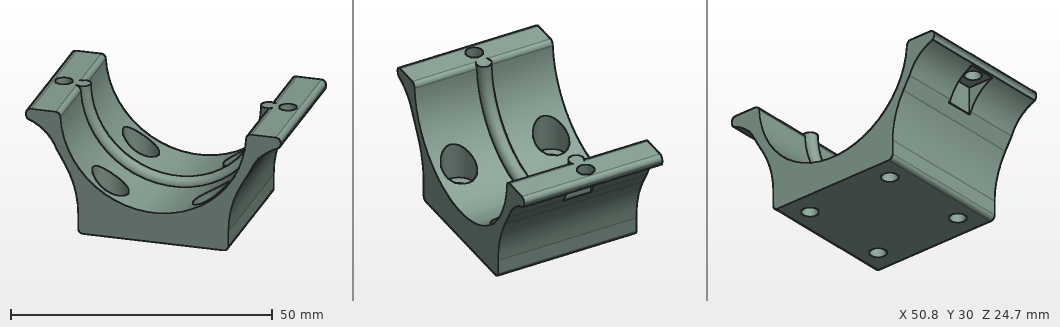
import cadquery as cq
import math

length = 30.0
half_width = 25.4
height = 24.65
edge_round = 1.0

bore_radius = 18.55
rib_radius = 1.5

foot_half_width = 15.0
foot_arc_radius = 20.0
foot_arc_start_z = -20.5
flank_angle = math.radians(30)
flat_top_z = -7.75
flange_arc_middle = (21.75, -4.1)
flange_arc_end = (25.05, -2.15)
lip_side_end_z = -1.3
lip_middle = (25.3, -1.75)

hole_diameter = 3.4
base_hole_offset = 10.0
counterbore_diameter = 7.0
counterbore_floor_z = -20.6
flange_hole_x = 22.35

pocket_width = 6.0
pocket_top_z = -2.3
pocket_inner_x = 18.85
pocket_height = pocket_width


def make_body():
    foot_arc_end_x = foot_half_width + foot_arc_radius * (1 - math.cos(flank_angle))
    foot_arc_end_z = foot_arc_start_z + foot_arc_radius * math.sin(flank_angle)
    foot_arc_middle = (
        foot_half_width + foot_arc_radius * (1 - math.cos(flank_angle / 2)),
        foot_arc_start_z + foot_arc_radius * math.sin(flank_angle / 2),
    )
    flat_top_x = foot_arc_end_x + (flat_top_z - foot_arc_end_z) * math.tan(flank_angle)

    half = (
        cq.Workplane("XZ")
        .moveTo(0, -height)
        .lineTo(foot_half_width, -height)
        .lineTo(foot_half_width, foot_arc_start_z)
        .threePointArc(foot_arc_middle, (foot_arc_end_x, foot_arc_end_z))
        .lineTo(flat_top_x, flat_top_z)
        .threePointArc(flange_arc_middle, flange_arc_end)
        .threePointArc(lip_middle, (half_width, lip_side_end_z))
        .lineTo(half_width, 0)
        .lineTo(0, 0)
        .close()
        .extrude(length / 2, both=True)
    )
    bore = cq.Workplane("XZ").circle(bore_radius).extrude(length / 2, both=True)
    half = half.cut(bore)
    half = half.edges("|Y").edges(">Z").fillet(edge_round)
    foot_corner = cq.selectors.NearestToPointSelector((foot_half_width, 0, -height))
    half = half.edges(foot_corner).fillet(edge_round)
    return half.union(half.mirror("YZ"))


def make_rib():
    return (
        cq.Workplane("XY")
        .center(bore_radius, 0)
        .circle(rib_radius)
        .revolve(180, (-bore_radius, 0, 0), (-bore_radius, 1, 0))
    )


def make_base_holes():
    span = 2 * base_hole_offset
    through = (
        cq.Workplane("XY", origin=(0, 0, -height))
        .rarray(span, span, 2, 2)
        .circle(hole_diameter / 2)
        .extrude(height)
    )
    counterbores = (
        cq.Workplane("XY", origin=(0, 0, counterbore_floor_z))
        .rarray(span, span, 2, 2)
        .circle(counterbore_diameter / 2)
        .extrude(-counterbore_floor_z)
    )
    return through.union(counterbores)


def make_flange_cut(side):
    hole = (
        cq.Workplane("XY")
        .center(side * flange_hole_x, 0)
        .circle(hole_diameter / 2)
        .extrude(-height)
    )
    pocket_depth = half_width - pocket_inner_x
    pocket = cq.Workplane("XY").box(pocket_depth, pocket_width, pocket_height).translate(
        (side * (pocket_inner_x + pocket_depth / 2), 0, pocket_top_z - pocket_height / 2)
    )
    return hole.union(pocket)


result = make_body().union(make_rib()).cut(make_base_holes())
for side in (-1, 1):
    result = result.cut(make_flange_cut(side))